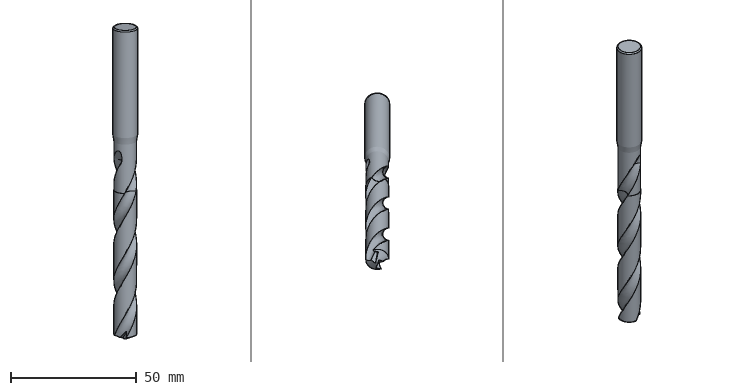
import cadquery as cq
import math

total_length = 131.0
cutting_top = 62.6
flute_top = 75.6
neck_top = 83.0
taper_top = 86.0

shank_radius = 5.0
drill_radius = 4.6
neck_radius = 4.52
shank_chamfer = 0.5
point_height = 2.2

flute_count = 2
flute_lead = 51.4
flute_radius = 3.1
core_radius = 2.2
flute_start_angle = -87.0
flute_margin = 1.3
max_stretch = 23.6
flute_offset = core_radius + flute_radius

runout_rise = 10.5
runout_slope = 2 * math.pi * drill_radius / flute_lead
runout_outward = 0.4

gash_inner_foot = -1.3
gash_outer_foot = 4.8
gash_peak = (2.1, 4.0)
gash_web = 0.5


def flute_angle(z):
    """Angle in degrees of the first flute's centre at height z."""
    return flute_start_angle + 360 * z / flute_lead


def flute_profile(z):
    angle = math.radians(flute_angle(z))
    centre = (flute_offset * math.cos(angle), flute_offset * math.sin(angle))
    return cq.Workplane("XY").workplane(offset=z).moveTo(*centre).circle(flute_radius)


def make_helical_cutters(bottom, top):
    """Cutters for one flute, stacked in short stretches between two heights."""
    stretches = math.ceil((top - bottom) / max_stretch)
    height = (top - bottom) / stretches
    twist = 360 * height / flute_lead
    return [flute_profile(bottom + i * height).twistExtrude(height, twist) for i in range(stretches)]


def make_runout_cutter():
    """Round profile carried on in a straight line, along the helix and outward."""
    angle = math.radians(flute_angle(flute_top))
    sideways = runout_slope * runout_rise
    outward = runout_outward * runout_rise
    path = cq.Vector(
        outward * math.cos(angle) - sideways * math.sin(angle),
        outward * math.sin(angle) + sideways * math.cos(angle),
        runout_rise,
    )
    face = cq.Face.makeFromWires(flute_profile(flute_top).wires().val())
    return cq.Workplane(cq.Solid.extrudeLinear(face, path))


def make_gash_cutter():
    """Triangular notch beside the drill axis, open at the flute and at the point."""
    return (
        cq.Workplane("XZ")
        .workplane(offset=gash_web)
        .polyline([(gash_inner_foot, 0), gash_peak, (gash_outer_foot, 0)])
        .close()
        .extrude(drill_radius)
    )


def cut_repeated(body, cutters):
    """Cut the body with evenly turned copies of each cutter."""
    for cutter in cutters:
        for index in range(flute_count):
            turn = index * 360 / flute_count
            body = body.cut(cutter.rotate((0, 0, 0), (0, 0, 1), turn))
    return body


def make_cutting_part():
    outline = [(0, 0), (drill_radius, point_height), (drill_radius, cutting_top), (0, cutting_top)]
    body = cq.Workplane("XZ").polyline(outline).close().revolve(360, (0, 0), (0, 1))
    body = cut_repeated(body, make_helical_cutters(-flute_margin, cutting_top))
    return cut_repeated(body, [make_gash_cutter()])


def make_shank():
    outline = [
        (0, cutting_top),
        (neck_radius, cutting_top),
        (neck_radius, neck_top),
        (shank_radius, taper_top),
        (shank_radius, total_length - shank_chamfer),
        (shank_radius - shank_chamfer, total_length),
        (0, total_length),
    ]
    body = cq.Workplane("XZ").polyline(outline).close().revolve(360, (0, 0), (0, 1))
    body = cut_repeated(body, make_helical_cutters(cutting_top, flute_top))
    return cut_repeated(body, [make_runout_cutter()])


cutting_part = make_cutting_part()
shank = make_shank()

result = cq.Compound.makeCompound([cutting_part.val(), shank.val()])